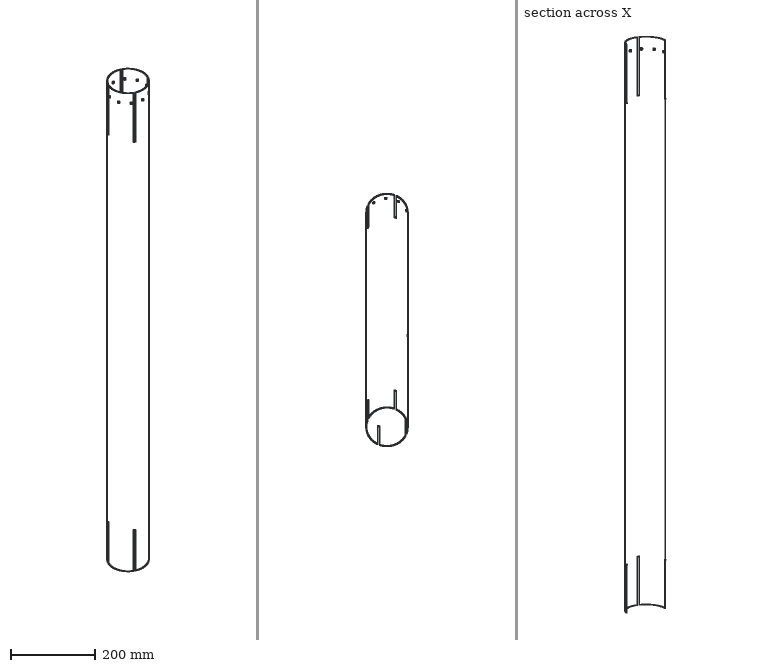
import cadquery as cq

OUTER_DIAMETER = 100.0
INNER_DIAMETER = 97.0
LENGTH = 1410.0

SLOT_WIDTH = 5.0
TOP_SLOT_LENGTH = 145.0
BOTTOM_SLOT_LENGTH = 120.0

HOLE_DIAMETER = 5.0
HOLE_COUNT = 10
HOLE_PITCH_ANGLE = 360.0 / HOLE_COUNT
HOLE_START_ANGLE = 27.0
HOLE_DEPTH_BELOW_TOP = 30.0


def make_tube():
    """Plain round tube over the full length."""
    return cq.Workplane("XY").circle(OUTER_DIAMETER / 2).circle(INNER_DIAMETER / 2).extrude(LENGTH)


def make_slot_cutter(base_height, slot_length):
    """Crossed blades that cut four slots, one on each side of the tube."""
    blades = cq.Workplane("XY").workplane(offset=base_height)
    along_x = blades.rect(OUTER_DIAMETER, SLOT_WIDTH).extrude(slot_length)
    along_y = blades.rect(SLOT_WIDTH, OUTER_DIAMETER).extrude(slot_length)
    return along_x.union(along_y)


def make_hole_cutter(angle):
    """Radial pin that cuts one hole through the wall at the given angle from +X."""
    pin = cq.Workplane("YZ").circle(HOLE_DIAMETER / 2).extrude(OUTER_DIAMETER)
    pin = pin.rotate((0, 0, 0), (0, 0, 1), angle)
    return pin.translate((0, 0, LENGTH - HOLE_DEPTH_BELOW_TOP))


result = make_tube()
result = result.cut(make_slot_cutter(LENGTH - TOP_SLOT_LENGTH, TOP_SLOT_LENGTH))
result = result.cut(make_slot_cutter(0, BOTTOM_SLOT_LENGTH))
for index in range(HOLE_COUNT):
    result = result.cut(make_hole_cutter(HOLE_START_ANGLE + index * HOLE_PITCH_ANGLE))